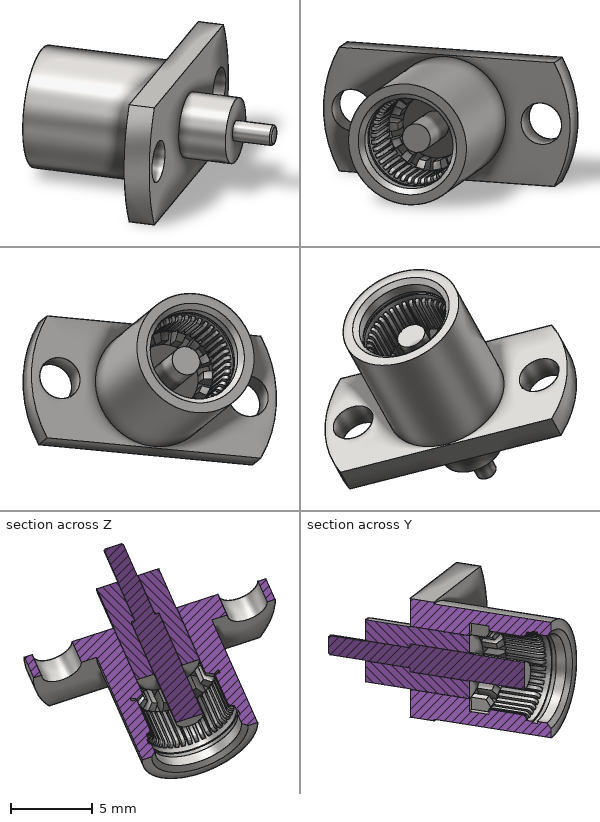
import cadquery as cq
import math


barrel_length = 7.88
flange_thickness = 1.62
spigot_length = 3.01
tail_length = 2.49
flange_rear = barrel_length + flange_thickness
spigot_end = flange_rear + spigot_length
tail_end = spigot_end + tail_length

barrel_radius = 3.8
flange_tip_radius = 7.95
flange_height = 7.8
screw_hole_diameter = 2.6
screw_hole_spacing = 12.2

mouth_radius = 3.17
lip_radius = 2.84
mouth_chamfer_depth = 0.28
lip_end = 0.94
relief_radius = 2.98
relief_end = 1.28
bore_radius = 2.88
bore_floor = 5.5

rib_count = 40
rib_width = 0.25
rib_start = 1.65
rib_inner_radius = 2.55
rib_nose_radius = bore_radius - rib_inner_radius
rib_root_overlap = 0.1

tooth_count = 14
tooth_angle = 180 / tooth_count
tooth_tip_radius = 2.53
tooth_tip = 4.2
tooth_inner_slope = 0.28
tooth_outer_slope = 0.2

insulator_radius = 2.05
pin_front = 1.78
pin_head_radius = 0.9
pin_shank_radius = 0.64
pin_tip_chamfer = 0.1
pin_shoulder = flange_rear


def revolve_about_axis(points):
    """Turn a profile of (x, radius) points fully around the X axis."""
    return cq.Workplane("XY").polyline(points).close().revolve(360, (0, 0, 0), (1, 0, 0))


def rod(start, end, radius):
    """Cylinder along the X axis."""
    return cq.Workplane("YZ", origin=(start, 0, 0)).circle(radius).extrude(end - start)


def make_flange():
    disc = rod(barrel_length, flange_rear, flange_tip_radius)
    strip = cq.Workplane("XY").box(2 * flange_rear, 2 * flange_tip_radius, flange_height)
    screw_holes = (
        cq.Workplane("YZ", origin=(barrel_length, 0, 0))
        .pushPoints([(-screw_hole_spacing / 2, 0), (screw_hole_spacing / 2, 0)])
        .circle(screw_hole_diameter / 2)
        .extrude(flange_thickness)
    )
    return disc.intersect(strip).cut(screw_holes)


def make_bore():
    return revolve_about_axis([
        (0, 0),
        (0, mouth_radius),
        (mouth_chamfer_depth, lip_radius),
        (lip_end, lip_radius),
        (lip_end, relief_radius),
        (relief_end, relief_radius),
        (relief_end, bore_radius),
        (bore_floor, bore_radius),
        (bore_floor, 0),
    ])


def make_rib():
    """Straight rib at the top of the bore, with a rounded front end."""
    nose_offset = rib_nose_radius * math.sqrt(0.5)
    nose_center = (rib_start + rib_nose_radius, rib_inner_radius + rib_nose_radius)
    root_radius = bore_radius + rib_root_overlap
    return (
        cq.Workplane("XZ", origin=(0, rib_width / 2, 0))
        .moveTo(rib_start, root_radius)
        .lineTo(rib_start, nose_center[1])
        .threePointArc(
            (nose_center[0] - nose_offset, nose_center[1] - nose_offset),
            (nose_center[0], rib_inner_radius),
        )
        .lineTo(tooth_tip, rib_inner_radius)
        .lineTo(tooth_tip, root_radius)
        .close()
        .extrude(rib_width)
    )


def make_tooth():
    """Sector of a ring on the bore floor, pointed toward the mouth, centred on +Y."""
    root_radius = bore_radius + rib_root_overlap
    outer_run = tooth_outer_slope * (root_radius - tooth_tip_radius) / (bore_radius - tooth_tip_radius)
    return (
        cq.Workplane("XY")
        .polyline([
            (tooth_tip, tooth_tip_radius),
            (tooth_tip + outer_run, root_radius),
            (bore_floor, root_radius),
            (bore_floor, insulator_radius),
            (tooth_tip + tooth_inner_slope, insulator_radius),
        ])
        .close()
        .revolve(tooth_angle, (0, 0, 0), (1, 0, 0))
        .rotate((0, 0, 0), (1, 0, 0), -tooth_angle / 2)
    )


def copies_around_axis(shape, count):
    return [shape.rotate((0, 0, 0), (1, 0, 0), i * 360 / count) for i in range(count)]


def make_housing():
    body = rod(0, barrel_length, barrel_radius).union(make_flange())
    body = body.cut(make_bore()).cut(rod(bore_floor, flange_rear, insulator_radius))
    inserts = copies_around_axis(make_rib(), rib_count) + copies_around_axis(make_tooth(), tooth_count)
    solids = [insert.val() for insert in inserts]
    return cq.Workplane("XY").newObject([body.val().fuse(*solids)])


def make_pin():
    head = rod(pin_front, pin_shoulder, pin_head_radius)
    shank = rod(pin_shoulder, tail_end, pin_shank_radius).faces(">X").chamfer(pin_tip_chamfer)
    return head.union(shank)


def make_insulator(pin):
    return rod(bore_floor, spigot_end, insulator_radius).cut(pin)


housing = make_housing()
pin = make_pin()
insulator = make_insulator(pin)

result = cq.Compound.makeCompound([*housing.vals(), insulator.val(), pin.val()])